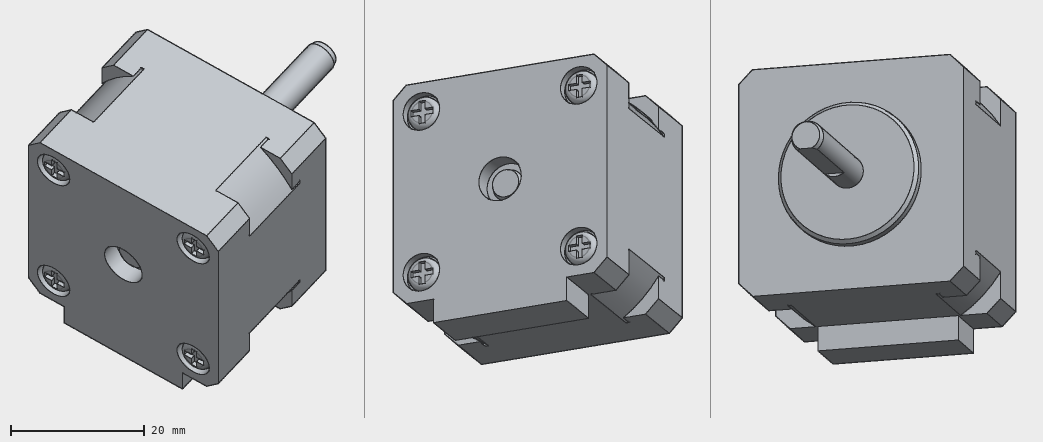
import cadquery as cq


REAR_CAP_END = 8.0
CLAW_START = 18.8
CLAW_DEPTH = 2.1
FRONT_FACE = 27.45
BOSS_HEIGHT = 1.95
TOTAL_LENGTH = 51.3

WIDTH = 35.3
CORNER_CHAMFER = 2.15
STATOR_RADIUS = 21.0
CLAW_CLEARANCE = 0.25

TAB_WIDTH = 22.0
TAB_DROP = 3.8

BOSS_DIAMETER = 22.0
BOSS_CHAMFER = 0.55

SHAFT_DIAMETER = 5.0
SHAFT_REAR = 2.0
END_TAPER_LENGTH = 1.0
END_TAPER_DEPTH = 0.3
FLAT_LENGTH = 15.0
FLAT_DEPTH = 0.5
REAR_BORE_DIAMETER = 7.0
REAR_BORE_DEPTH = 3.0

SCREW_OFFSET = 13.0
SCREW_RECESS_DIAMETER = 6.0
SCREW_RECESS_DEPTH = 1.5
HEAD_DIAMETER = 5.3
HEAD_HEIGHT = 1.3
HEAD_ROUND = 0.9
CROSS_LENGTH = 3.6
CROSS_WIDTH = 1.0
CROSS_DEPTH = 0.75


def section_at(y, x=0, z=0):
    """Workplane at position y along the axis, with local axes X and Z, extruding toward -Y."""
    return cq.Workplane("XZ", origin=(x, y, z))


def cylinder(start, end, diameter, x=0, z=0):
    return section_at(end, x, z).circle(diameter / 2).extrude(end - start)


def block(start, end, width, height):
    return section_at(end).rect(width, height).extrude(end - start)


def chamfered_cap(start, end):
    return block(start, end, WIDTH, WIDTH).edges("|Y").chamfer(CORNER_CHAMFER)


def make_stator():
    """Square bar whose corners are rounded about the motor axis."""
    end = CLAW_START + CLAW_DEPTH
    return block(REAR_CAP_END, end, WIDTH, WIDTH).intersect(cylinder(REAR_CAP_END, end, 2 * STATOR_RADIUS))


def make_front_cap():
    """Front cap whose four corner claws reach back around the stator with a small gap."""
    claw_end = CLAW_START + CLAW_DEPTH
    stator_pocket = cylinder(CLAW_START, claw_end, 2 * (STATOR_RADIUS + CLAW_CLEARANCE))
    cap = chamfered_cap(CLAW_START, FRONT_FACE).cut(stator_pocket)
    boss_end = FRONT_FACE + BOSS_HEIGHT
    boss = cylinder(FRONT_FACE, boss_end, BOSS_DIAMETER).faces(">Y").chamfer(BOSS_CHAMFER)
    return cap.union(boss)


def make_tab():
    tab = block(0, REAR_CAP_END, TAB_WIDTH, TAB_DROP)
    return tab.translate((0, 0, -(WIDTH + TAB_DROP) / 2))


def make_screw_head(x, z):
    """Rounded head with a cross slot, standing on the floor of its recess."""
    head_top = SCREW_RECESS_DEPTH - HEAD_HEIGHT
    head = cylinder(head_top, SCREW_RECESS_DEPTH, HEAD_DIAMETER, x, z)
    head = head.faces("<Y").edges().fillet(HEAD_ROUND)
    slot_floor = section_at(head_top + CROSS_DEPTH, x, z)
    head = head.cut(slot_floor.rect(CROSS_LENGTH, CROSS_WIDTH).extrude(CROSS_DEPTH))
    return head.cut(slot_floor.rect(CROSS_WIDTH, CROSS_LENGTH).extrude(CROSS_DEPTH))


def make_housing():
    housing = chamfered_cap(0, REAR_CAP_END).union(make_tab())
    for x in (-SCREW_OFFSET, SCREW_OFFSET):
        for z in (-SCREW_OFFSET, SCREW_OFFSET):
            housing = housing.cut(cylinder(0, SCREW_RECESS_DEPTH, SCREW_RECESS_DIAMETER, x, z))
            housing = housing.union(make_screw_head(x, z))
    housing = housing.union(make_stator()).union(make_front_cap())
    housing = housing.cut(cylinder(0, REAR_BORE_DEPTH, REAR_BORE_DIAMETER))
    return housing.cut(cylinder(0, FRONT_FACE + BOSS_HEIGHT, SHAFT_DIAMETER))


def make_shaft():
    """Round shaft, tapered at both ends, with a flat on the underside of the free end."""
    shaft = cylinder(SHAFT_REAR, TOTAL_LENGTH, SHAFT_DIAMETER)
    shaft = shaft.faces(">Y").chamfer(END_TAPER_LENGTH, END_TAPER_DEPTH)
    shaft = shaft.faces("<Y").chamfer(END_TAPER_LENGTH, END_TAPER_DEPTH)
    flat_cut = block(TOTAL_LENGTH - FLAT_LENGTH, TOTAL_LENGTH, SHAFT_DIAMETER, FLAT_DEPTH)
    return shaft.cut(flat_cut.translate((0, 0, (FLAT_DEPTH - SHAFT_DIAMETER) / 2)))


housing = make_housing()
shaft = make_shaft()
result = cq.Compound.makeCompound([housing.val(), shaft.val()])